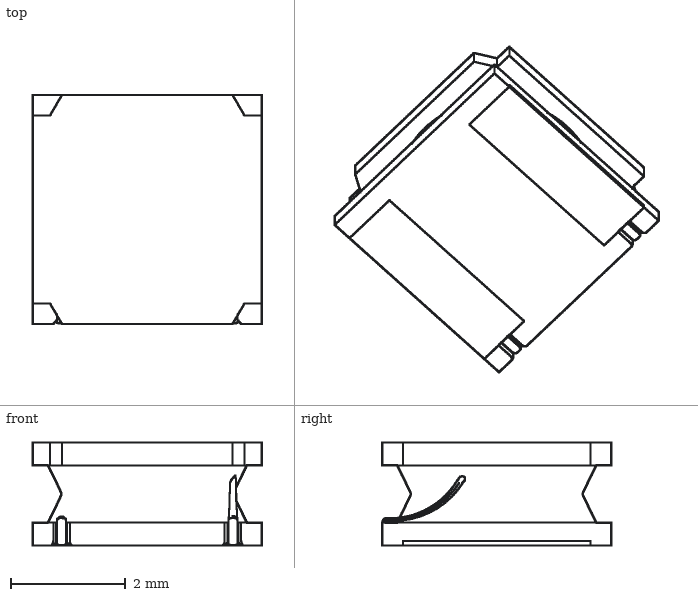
import cadquery as cq
import math


SIDE = 4.0
HEIGHT = 1.8
FLANGE = 0.4
POST_DIAMETER = 2.0
CORNER_DEPTH = 0.36
CORNER_INNER_WIDTH = 0.305
CORNER_OUTER_WIDTH = 0.51

FILLER_END_RADIUS = 1.74
FILLER_WAIST_RADIUS = 1.505
WAIST_EDGE_RADIUS = 1.515
WAIST_HEIGHT = 0.085

ELECTRODE_WIDTH = 1.0
ELECTRODE_LENGTH = 3.28
ELECTRODE_THICKNESS = 0.085

WIRE_DIAMETER = 0.105
FLAT_WIDTH = 0.16
FLAT_THICKNESS = 0.05
LEAD_X = 1.495
FLAT_TOP_END = 0.175
BEND_RADIUS = 0.05
LEAD_GAP = 0.03
LOW_ENTRY_Y = -0.835
LOW_ENTRY_Z = 0.455
HIGH_ENTRY_Y = -0.655
HIGH_ENTRY_Z = 1.09
TURN_RADIUS = 1.24
TURN_ANGLES = (175, 0)
TURN_HEIGHTS = (0.52, 1.16)
TURN_STEPS = 4

CHANNEL_DEPTH = 0.055
CHANNEL_FLOOR_WIDTH = 0.19
CHANNEL_MOUTH_WIDTH = 0.29

FRONT = -SIDE / 2
MID_Z = HEIGHT / 2
UPPER_FLANGE_Z = HEIGHT - FLANGE
LEAD_INSET = CHANNEL_DEPTH - FLAT_THICKNESS / 2
LEAD_TOP_Z = FLANGE + LEAD_GAP + FLAT_THICKNESS / 2
FOOT_END_Y = -ELECTRODE_LENGTH / 2
FLAT_END_Y = FRONT + FLAT_TOP_END
LEVEL_DIRECTION = cq.Vector(0, 1, 0)
BEND_MIDDLE = BEND_RADIUS * (1 - math.sqrt(0.5))


def lead_path_to_top(x):
    """Path from the foot under the core, round the lower bend and up to the start of the upper bend."""
    front_y = FRONT + LEAD_INSET
    return (
        cq.Workplane("YZ", origin=(x, 0, 0))
        .moveTo(FOOT_END_Y, LEAD_INSET)
        .lineTo(front_y + BEND_RADIUS, LEAD_INSET)
        .threePointArc(
            (front_y + BEND_MIDDLE, LEAD_INSET + BEND_MIDDLE),
            (front_y, LEAD_INSET + BEND_RADIUS),
        )
        .lineTo(front_y, LEAD_TOP_Z - BEND_RADIUS)
    )


def lead_path(x):
    """Whole centre line of a flat lead, including the upper bend and the run over the flange."""
    front_y = FRONT + LEAD_INSET
    return (
        lead_path_to_top(x)
        .threePointArc(
            (front_y + BEND_MIDDLE, LEAD_TOP_Z - BEND_MIDDLE),
            (front_y + BEND_RADIUS, LEAD_TOP_Z),
        )
        .lineTo(FLAT_END_Y, LEAD_TOP_Z)
    )


def channel(x):
    """Cutter for a lead channel: a trapezoid that follows the lead and opens outwards."""
    flare = (CHANNEL_MOUTH_WIDTH - CHANNEL_FLOOR_WIDTH) / 2 / CHANNEL_DEPTH
    cutter_height = 2 * CHANNEL_DEPTH
    floor = CHANNEL_FLOOR_WIDTH / 2
    mouth = floor + flare * cutter_height
    floor_z = CHANNEL_DEPTH
    outer_z = CHANNEL_DEPTH - cutter_height
    return (
        cq.Workplane("XZ", origin=(x, FOOT_END_Y, 0))
        .polyline([(-floor, floor_z), (floor, floor_z), (mouth, outer_z), (-mouth, outer_z)])
        .close()
        .sweep(lead_path_to_top(x))
    )


def make_electrode(side):
    """One electrode; side is -1 for the -X edge and 1 for the +X edge."""
    return cq.Workplane("XY").box(
        ELECTRODE_WIDTH, ELECTRODE_LENGTH, ELECTRODE_THICKNESS, centered=(True, True, False)
    ).translate((side * (SIDE - ELECTRODE_WIDTH) / 2, 0, 0))


def corner_cutter():
    """Cutter for the four corner cut-outs of the upper flange."""
    half = SIDE / 2
    cutter = cq.Workplane("XY", origin=(0, 0, UPPER_FLANGE_Z))
    for sx in (-1, 1):
        for sy in (-1, 1):
            cutter = cutter.polyline([
                (sx * half, sy * half),
                (sx * half, sy * (half - CORNER_DEPTH)),
                (sx * (half - CORNER_INNER_WIDTH), sy * (half - CORNER_DEPTH)),
                (sx * (half - CORNER_OUTER_WIDTH), sy * half),
            ]).close()
    return cutter.extrude(FLANGE)


def make_core():
    flange = cq.Workplane("XY").box(SIDE, SIDE, FLANGE, centered=(True, True, False))
    post = cq.Workplane("XY").circle(POST_DIAMETER / 2).extrude(HEIGHT)
    core = flange.union(post)
    core = core.union(flange.translate((0, 0, UPPER_FLANGE_Z)).cut(corner_cutter()))
    for side in (-1, 1):
        core = core.cut(channel(side * LEAD_X)).cut(make_electrode(side))
    return core


def flat_section(start):
    return cq.Wire.makeEllipse(
        FLAT_WIDTH / 2, FLAT_THICKNESS / 2, start, LEVEL_DIRECTION, cq.Vector(1, 0, 0)
    )


def round_section(centre, direction):
    return cq.Wire.makeCircle(WIRE_DIAMETER / 2, centre, direction)


def flat_lead(x):
    """Flat part of a lead, from its foot under the core to its run over the lower flange."""
    return (
        cq.Workplane("XZ", origin=(x, FOOT_END_Y, LEAD_INSET))
        .ellipse(FLAT_WIDTH / 2, FLAT_THICKNESS / 2)
        .sweep(lead_path(x))
    )


def lead_tail(start, entry, end_direction, path):
    """Transition from the flat section to the round wire along the given path."""
    sections = [flat_section(start), round_section(entry, end_direction)]
    return cq.Workplane(cq.Solid.sweep_multi(sections, path))


def buried_turn(low_entry, high_entry, high_direction):
    """Half turn of round wire around the post, climbing from the left lead to the right one."""
    start_angle, end_angle = TURN_ANGLES
    start_z, end_z = TURN_HEIGHTS
    points = [low_entry]
    for step in range(TURN_STEPS + 1):
        share = step / TURN_STEPS
        angle = math.radians(start_angle + share * (end_angle - start_angle))
        points.append(cq.Vector(
            TURN_RADIUS * math.cos(angle),
            TURN_RADIUS * math.sin(angle),
            start_z + share * (end_z - start_z),
        ))
    points.append(high_entry)
    path = cq.Edge.makeSpline(points, tangents=[LEVEL_DIRECTION, high_direction * -1])
    section = round_section(low_entry, LEVEL_DIRECTION)
    return cq.Workplane(cq.Solid.sweep(section, [], path, makeSolid=True, isFrenet=True))


def make_wire():
    low_start = cq.Vector(-LEAD_X, FLAT_END_Y, LEAD_TOP_Z)
    high_start = cq.Vector(LEAD_X, FLAT_END_Y, LEAD_TOP_Z)
    low_entry = cq.Vector(-LEAD_X, LOW_ENTRY_Y, LOW_ENTRY_Z)
    high_entry = cq.Vector(LEAD_X, HIGH_ENTRY_Y, HIGH_ENTRY_Z)

    low_path = cq.Edge.makeLine(low_start, low_entry)
    low_tail = lead_tail(low_start, low_entry, LEVEL_DIRECTION, low_path)

    climb = 2 * math.atan2(HIGH_ENTRY_Z - LEAD_TOP_Z, HIGH_ENTRY_Y - FLAT_END_Y)
    climbing = cq.Vector(0, math.cos(climb), math.sin(climb))
    high_path = cq.Edge.makeTangentArc(high_start, LEVEL_DIRECTION, high_entry)
    high_tail = lead_tail(high_start, high_entry, climbing, high_path)

    wire = low_tail.union(buried_turn(low_entry, high_entry, climbing)).union(high_tail)
    for side in (-1, 1):
        wire = wire.union(flat_lead(side * LEAD_X))
    return wire


def make_filler(wire):
    """Hourglass around the post, moulded over the buried turn of the wire."""
    waist_bottom = MID_Z - WAIST_HEIGHT / 2
    waist_top = MID_Z + WAIST_HEIGHT / 2
    return (
        cq.Workplane("XZ")
        .moveTo(POST_DIAMETER / 2, FLANGE)
        .lineTo(FILLER_END_RADIUS, FLANGE)
        .lineTo(WAIST_EDGE_RADIUS, waist_bottom)
        .threePointArc((FILLER_WAIST_RADIUS, MID_Z), (WAIST_EDGE_RADIUS, waist_top))
        .lineTo(FILLER_END_RADIUS, UPPER_FLANGE_Z)
        .lineTo(POST_DIAMETER / 2, UPPER_FLANGE_Z)
        .close()
        .revolve(360, (0, 0, 0), (0, 1, 0))
        .cut(wire)
    )


core = make_core()
wire = make_wire()
filler = make_filler(wire)
electrodes = [make_electrode(side) for side in (-1, 1)]

result = cq.Compound.makeCompound(
    [core.val(), filler.val(), wire.val(), *[electrode.val() for electrode in electrodes]]
)